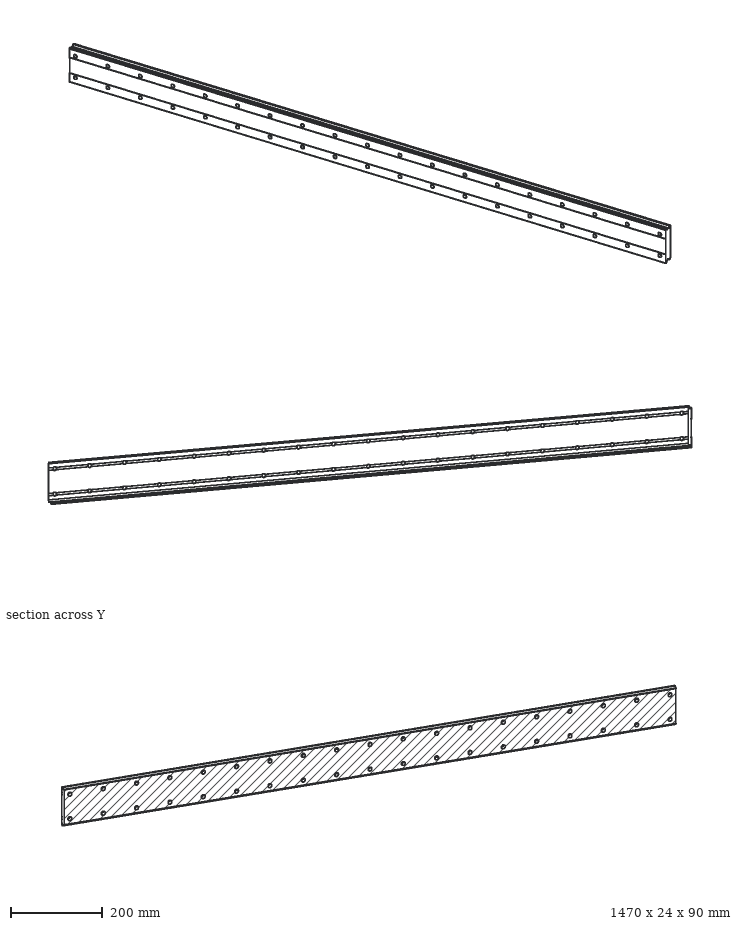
import math

import cadquery as cq

length = 1470
thickness = 24.0
height = 90.0

front_chamfer = 1.0
flange_thickness = 5.0
flange_back_angle = 60

groove_depth = 3.7
groove_floor_width = 6.6

ridge_back_width = 3.0
ridge_back_angle = 54.5

relief_height = 41.0
relief_depth = 1.0

hole_diameter = 8.1
hole_count = 19
hole_end_margin = 15.0
hole_pitch = (length - 2 * hole_end_margin) / (hole_count - 1)
row_spacing = 57.0

channel_width = 5.3
channel_depth = 0.5

front = -thickness / 2
back = thickness / 2
top = height / 2


def make_body():
    """Extrude the cross-section, symmetric about the XY plane, along X."""
    flange_back = front + flange_thickness
    floor_front = flange_back + groove_depth / math.tan(math.radians(flange_back_angle))
    floor_back = floor_front + groove_floor_width
    groove_floor = top - groove_depth
    back_edge = top - ridge_back_width * math.tan(math.radians(ridge_back_angle))
    upper_half = [
        (front, top - front_chamfer),
        (front + front_chamfer, top),
        (flange_back, top),
        (floor_front, groove_floor),
        (floor_back, groove_floor),
        (floor_back + groove_depth, top),
        (back - ridge_back_width, top),
        (back, back_edge),
    ]
    lower_half = [(y, -z) for y, z in reversed(upper_half)]
    section = cq.Workplane("YZ").polyline(upper_half + lower_half).close()
    return section.extrude(length / 2, both=True)


def make_strip(y, z, depth, width):
    """Cutter for a full-length strip of the given depth on the face at y, centred on z."""
    return cq.Workplane("XY").box(length, 2 * depth, width).translate((0, y, z))


def make_holes():
    return (
        cq.Workplane("XZ")
        .rarray(hole_pitch, row_spacing, hole_count, 2)
        .circle(hole_diameter / 2)
        .extrude(thickness, both=True)
    )


result = make_body().cut(make_holes())
result = result.cut(make_strip(front, 0, relief_depth, relief_height))
for row_z in (-row_spacing / 2, row_spacing / 2):
    result = result.cut(make_strip(back, row_z, channel_depth, channel_width))